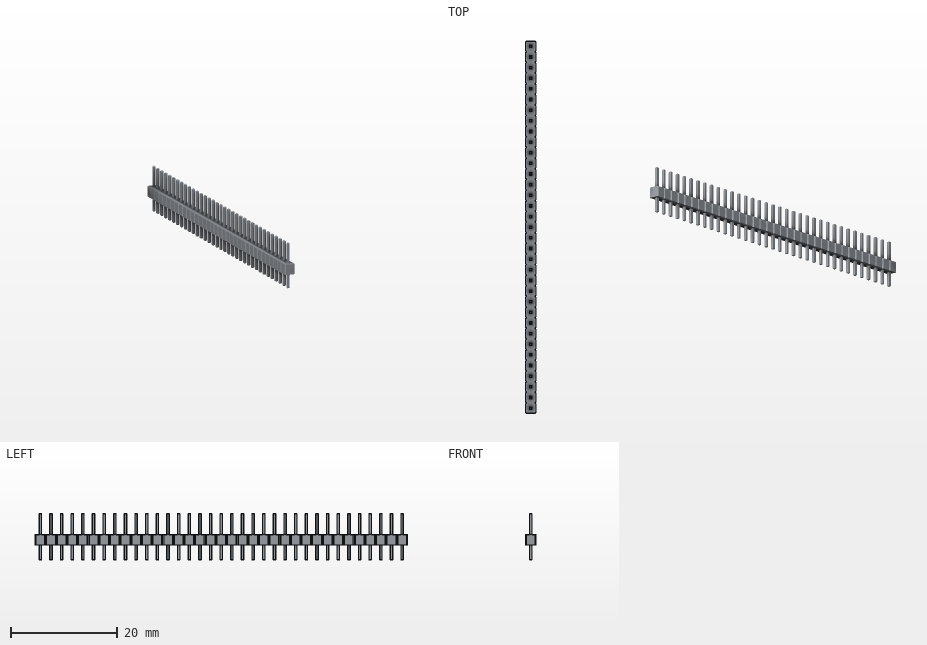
import cadquery as cq

length = 70.0
pin_count = 35
pitch = length / pin_count
body_width = pitch
body_height = pitch
corner_chamfer = 0.195

pin_side = 0.5
pin_tip_chamfer = 0.125
pin_above = 4.0
pin_below = 2.8
pin_length = pin_above + body_height + pin_below

pin_positions = [(0, (i - (pin_count - 1) / 2) * pitch) for i in range(pin_count)]


def housing():
    """Row of square cells whose chamfered corners leave V-notches between the pins."""
    cell = (
        cq.Workplane("XY")
        .rect(body_width, pitch)
        .extrude(body_height)
        .edges("|Z")
        .chamfer(corner_chamfer)
        .val()
    )
    return cq.Workplane("XY").pushPoints(pin_positions).eachpoint(cell, combine=True).clean()


def pins():
    """Straight square pins with chamfered tips, one through each cell centre."""
    pin = (
        cq.Workplane("XY", origin=(0, 0, -pin_below))
        .rect(pin_side, pin_side)
        .extrude(pin_length)
        .faces("<Z or >Z")
        .chamfer(pin_tip_chamfer)
        .val()
    )
    return cq.Workplane("XY").pushPoints(pin_positions).eachpoint(pin)


result = housing().union(pins())